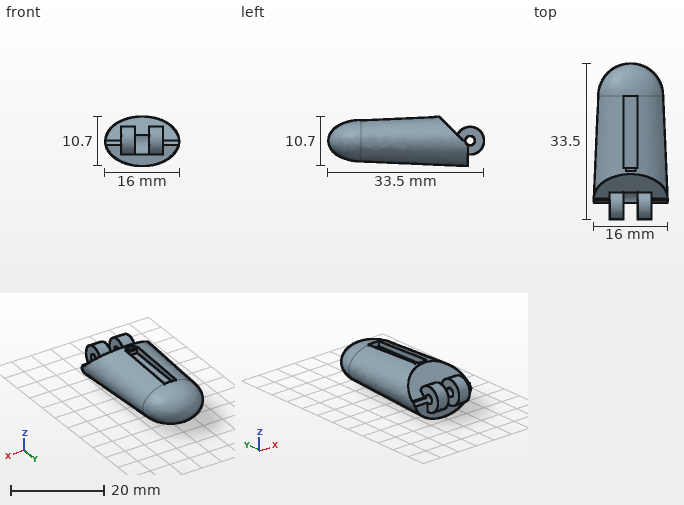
import cadquery as cq

overall_length = 33.5

end_half_width = 8.0
end_half_height = 5.5
neck_half_width = 7.0
neck_half_height = 4.5
taper_length = 23.0
dome_radius = neck_half_width

slope_start = 1.0
cut_height = 10.05

hinge_radius = 3.0
pin_radius = 1.0
lug_width = 3.0
lug_gap = 2.98
hinge_y = hinge_radius + taper_length + dome_radius - overall_length

slot_width = 2.98
slot_start = 7.55
slot_floor_at_start = 3.5
slot_floor_at_dome = 3.18
notch_width = 2.0
notch_start = 6.87
notch_floor = 4.42


def body():
    taper = (
        cq.Workplane("XZ")
        .ellipse(end_half_width, end_half_height)
        .workplane(offset=-taper_length)
        .ellipse(neck_half_width, neck_half_height)
        .loft(ruled=True)
    )
    return taper.union(dome())


def dome():
    """Half ball on the neck, squeezed in Z to match the neck ellipse."""
    ball = (
        cq.Workplane("XY")
        .moveTo(0, taper_length)
        .lineTo(dome_radius, taper_length)
        .radiusArc((0, taper_length + dome_radius), -dome_radius)
        .close()
        .revolve(360, (0, 0, 0), (0, 1, 0))
    )
    flatten = cq.Matrix([
        [1, 0, 0, 0],
        [0, 1, 0, 0],
        [0, 0, neck_half_height / dome_radius, 0],
    ])
    return cq.Workplane(obj=ball.val().transformGeometry(flatten))


def slope_cut():
    """Everything above the mid-plane in front of the 45 degree face."""
    front = -cut_height
    return (
        cq.Workplane("YZ")
        .polyline([
            (front, 0),
            (slope_start, 0),
            (slope_start + cut_height, cut_height),
            (front, cut_height),
        ])
        .close()
        .extrude(overall_length, both=True)
    )


def hinge_cylinder(radius, width, center_x=0.0):
    return (
        cq.Workplane("YZ", origin=(center_x - width / 2, 0, 0))
        .center(hinge_y, 0)
        .circle(radius)
        .extrude(width)
    )


def top_pocket(width, start, floor_at_start, floor_at_dome):
    """Pocket open upward, with a straight floor running from start to the dome."""
    return (
        cq.Workplane("YZ")
        .polyline([
            (start, floor_at_start),
            (taper_length, floor_at_dome),
            (taper_length, cut_height),
            (start, cut_height),
        ])
        .close()
        .extrude(width / 2, both=True)
    )


result = body().cut(slope_cut())
for side in (-1, 1):
    lug_x = side * (lug_gap + lug_width) / 2
    result = result.union(hinge_cylinder(hinge_radius, lug_width, lug_x))
result = result.cut(hinge_cylinder(hinge_radius, lug_gap))
result = result.cut(hinge_cylinder(pin_radius, overall_length))
result = result.cut(top_pocket(slot_width, slot_start, slot_floor_at_start, slot_floor_at_dome))
result = result.cut(top_pocket(notch_width, notch_start, notch_floor, notch_floor))